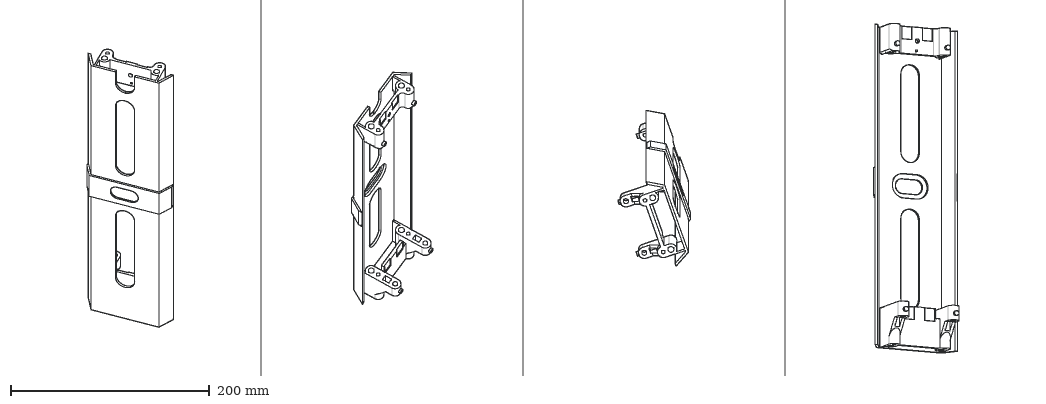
import cadquery as cq
import math

length = 327.5
width = 92.5
flange_tip_y = 18.7
flange_angle = math.radians(60)
plate_thickness = 2.5
bend_half_width = 36.7

band_thickness = 2.0
band_width = 91.7
band_bottom = 153.5
band_height = 28.0

slot_width = 20.5
upper_slot_bottom = 192.0
upper_slot_top = 292.0
lower_slot_bottom = 42.0
lower_slot_top = 144.0
notch_bottom = 302.7
band_slot_length = 30.0
band_slot_height = 15.0
band_slot_clearance = 5.0

wall_thickness = 2.0
post_x = 28.2
post_radius = 6.0
post_front_y = 17.7
post_back_y = 26.0
post_front_hole_diameter = 6.0
post_back_hole_diameter = 3.5
web_thickness = 4.0
web_recess_depth = 1.0
web_recess_start = 6.0
web_recess_end = 17.0
web_recess_height = 13.0
flank_radius = 4.3

upper_bracket_height = 28.0
upper_web_y = 17.5
upper_chamfer = 2.0
lower_bracket_height = 40.3
lower_web_y = 23.0
lower_gap_start = 17.7
lower_gap_bottom = 30.0

web_hole_diameter = 4.3
web_hole_drop = 14.0
small_hole_diameter = 2.0
small_hole_x = 1.0
small_hole_drop = 24.2

arm_end_y = 46.2
arm_bottom = 25.5
gusset_front_y = 26.2
gusset_back_y = 38.5
gusset_bottom = 8.5
arm_hole_diameter = 5.0
window_width = 5.2
window_depth = 7.5
window_front_y = 32.8

pin_diameter = 5.0
arm_pin_length = 2.0
post_pin_length = 2.5
arm_pin_z = 32.0
post_pin_z = 307.0

plate_back_y = band_thickness + plate_thickness
wall_x = post_x + post_radius
post_inner_x = post_x - post_radius
arm_back_y = arm_end_y + post_radius
post_end_y = post_back_y + post_radius
upper_bracket_bottom = length - upper_bracket_height


def box(x0, x1, y0, y1, z0, z1):
    """Box between two opposite corners."""
    return cq.Workplane("XY", origin=(x0, y0, z0)).box(x1 - x0, y1 - y0, z1 - z0, centered=False)


def cylinder_along_z(x, y, diameter, z0, z1):
    return cq.Workplane("XY", origin=(x, y, z0)).circle(diameter / 2).extrude(z1 - z0)


def cylinder_along_y(x, z, diameter, y0, y1):
    return cq.Workplane("XZ", origin=(x, y0, z)).circle(diameter / 2).extrude(y0 - y1)


def both_sides(shape):
    """Shape on the +X side together with its mirror image."""
    return shape.union(shape.mirror("YZ"))


def bent_sheet(front_y, thickness, bend_x, overall_width, z0, z1):
    """Flat sheet with both edges bent back, trimmed at the flange tips and at the overall width."""
    rise = 2 * flange_tip_y
    run = rise / math.tan(flange_angle)
    back_y = front_y + thickness
    back_bend_x = bend_x - thickness * math.tan(flange_angle / 2)
    sheet = (
        cq.Workplane("XY", origin=(0, 0, z0))
        .moveTo(-bend_x, front_y)
        .lineTo(bend_x, front_y)
        .lineTo(bend_x + run, front_y + rise)
        .lineTo(back_bend_x + run, back_y + rise)
        .lineTo(back_bend_x, back_y)
        .lineTo(-back_bend_x, back_y)
        .lineTo(-back_bend_x - run, back_y + rise)
        .lineTo(-bend_x - run, front_y + rise)
        .close()
        .extrude(z1 - z0)
    )
    return sheet.intersect(box(-overall_width / 2, overall_width / 2, 0, flange_tip_y, z0, z1))


def plate_slot(x_size, z_size, z_center, front_y=0):
    """Cutter for a round-ended opening from front_y to the back of the plate."""
    long_way = max(x_size, z_size)
    short_way = min(x_size, z_size)
    angle = 90 if z_size > x_size else 0
    return (
        cq.Workplane("XZ", origin=(0, plate_back_y, z_center))
        .slot2D(long_way, short_way, angle)
        .extrude(plate_back_y - front_y)
    )


def channel():
    band_top = band_bottom + band_height
    band_bend = bend_half_width + band_thickness * math.tan(flange_angle / 2)
    body = bent_sheet(band_thickness, plate_thickness, bend_half_width, width, 0, length)
    body = body.union(bent_sheet(0, band_thickness, band_bend, band_width, band_bottom, band_top))
    notch_top = length + slot_width
    for bottom, top in (
        (lower_slot_bottom, lower_slot_top),
        (upper_slot_bottom, upper_slot_top),
        (notch_bottom, notch_top),
    ):
        body = body.cut(plate_slot(slot_width, top - bottom, (bottom + top) / 2))
    band_center = (band_bottom + band_top) / 2
    body = body.cut(plate_slot(band_slot_length, band_slot_height, band_center))
    return body.cut(
        plate_slot(
            band_slot_length + 2 * band_slot_clearance,
            band_slot_height + 2 * band_slot_clearance,
            band_center,
            band_thickness,
        )
    )


def upright(y0, y1, z0, z1):
    """Post on the +X side, rounded at front and back about the axes at y0 and y1."""
    return (
        cq.Workplane("XY", origin=(post_x, (y0 + y1) / 2, z0))
        .slot2D(y1 - y0 + 2 * post_radius, 2 * post_radius, 90)
        .extrude(z1 - z0)
    )


def flank(web_back_y, z0, z1):
    """Concave fillet in the corner between the back of the web and the inner side of the post."""
    fillet_x = post_inner_x - flank_radius
    fillet_y = web_back_y + flank_radius
    corner = box(fillet_x, post_x, web_back_y - web_thickness, fillet_y, z0, z1)
    return corner.cut(cylinder_along_z(fillet_x, fillet_y, 2 * flank_radius, z0, z1))


def bracket(web_y, z0, z1):
    web_back_y = web_y + web_thickness
    wall = box(wall_x - wall_thickness, wall_x, band_thickness, post_back_y, z0, z1)
    side = wall.union(upright(post_front_y, post_back_y, z0, z1))
    body = both_sides(side).union(box(-post_x, post_x, web_y, web_back_y, z0, z1))
    recess = box(
        web_recess_start, web_recess_end,
        web_back_y - web_recess_depth, web_back_y,
        z1 - web_recess_height, z1,
    )
    return body.cut(both_sides(recess))


def upper_bracket():
    body = bracket(upper_web_y, upper_bracket_bottom, length)
    body = body.union(both_sides(flank(upper_web_y + web_thickness, upper_bracket_bottom, length)))
    chamfer = (
        cq.Workplane("XZ", origin=(wall_x, post_end_y, upper_bracket_bottom))
        .lineTo(-upper_chamfer, 0)
        .lineTo(0, upper_chamfer)
        .close()
        .extrude(post_end_y - plate_back_y)
    )
    body = body.cut(both_sides(chamfer))
    pin = cylinder_along_y(post_x, post_pin_z, pin_diameter, post_back_y, post_end_y + post_pin_length)
    return body.union(both_sides(pin))


def lower_bracket():
    top = lower_bracket_height
    gusset = (
        cq.Workplane("YZ", origin=(post_inner_x, 0, 0))
        .moveTo(post_front_y, gusset_bottom)
        .lineTo(gusset_front_y, gusset_bottom)
        .lineTo(gusset_back_y, arm_bottom)
        .lineTo(gusset_back_y, top)
        .lineTo(post_front_y, top)
        .close()
        .extrude(2 * post_radius)
    )
    arm = upright(post_back_y, arm_end_y, arm_bottom, top).union(gusset)
    arm = arm.union(cylinder_along_y(post_x, arm_pin_z, pin_diameter, arm_end_y, arm_back_y + arm_pin_length))
    arm = arm.cut(cylinder_along_z(post_x, arm_end_y, arm_hole_diameter, 0, top))
    half = window_width / 2
    window = box(post_x - half, post_x + half, window_front_y, window_front_y + window_depth, 0, top)
    arm = arm.cut(window)

    gap = box(lower_gap_start, post_inner_x, lower_web_y, lower_web_y + web_thickness, lower_gap_bottom, top)
    return bracket(lower_web_y, 0, top).union(both_sides(arm)).cut(both_sides(gap))


def drill(body):
    """Holes down through the posts of both brackets and through the upper web."""
    for y, diameter in (
        (post_front_y, post_front_hole_diameter),
        (post_back_y, post_back_hole_diameter),
    ):
        body = body.cut(both_sides(cylinder_along_z(post_x, y, diameter, 0, length)))
    web_back_y = upper_web_y + web_thickness
    for x, drop, diameter in (
        (0, web_hole_drop, web_hole_diameter),
        (small_hole_x, small_hole_drop, small_hole_diameter),
    ):
        body = body.cut(cylinder_along_y(x, length - drop, diameter, 0, web_back_y))
    return body


result = drill(channel().union(upper_bracket()).union(lower_bracket()))